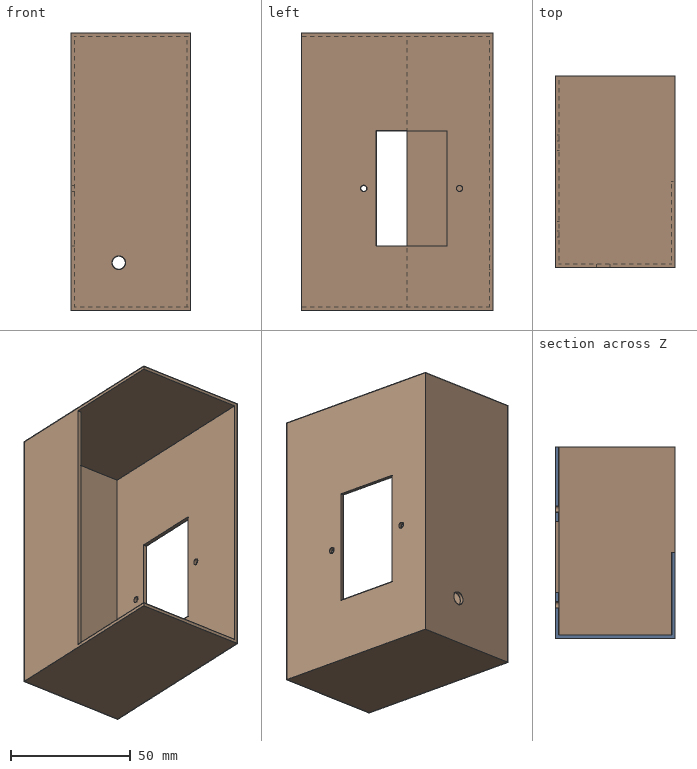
import cadquery as cq

length_x = 50.0
depth_y = 80.0
height_z = 116.0
wall = 1.5

window_width = 29.5
window_height = 48.0
window_center_y = 34.0
window_center_z = 51.0
screw_hole_diameter = 2.5
screw_hole_spacing = 40.0

cable_hole_diameter = 5.5
cable_hole_x = 20.0
cable_hole_z = 20.0

rear_wall_width = 36.0


def block(size, low_corner):
    """Box given by its size and its lowest corner."""
    return cq.Workplane("XY").box(*size, centered=False).translate(low_corner)


def shell():
    """Box with floor, ceiling and three walls, open on +Y and on part of +X."""
    outer = block((length_x, depth_y, height_z), (0, 0, 0))
    inner_height = height_z - 2 * wall
    cavity = block((length_x - 2 * wall, depth_y - wall, inner_height), (wall, wall, wall))
    side_opening = block(
        (wall, depth_y - rear_wall_width, inner_height),
        (length_x - wall, rear_wall_width, wall),
    )
    return outer.cut(cavity).cut(side_opening)


def window():
    """Cutter for the rectangular window through the -X wall."""
    low_corner = (0, window_center_y - window_width / 2, window_center_z - window_height / 2)
    return block((wall, window_width, window_height), low_corner)


def screw_holes():
    """Cutters for the two screw holes level with the middle of the window."""
    half_spacing = screw_hole_spacing / 2
    return (
        cq.Workplane("YZ")
        .pushPoints([(window_center_y + side * half_spacing, window_center_z) for side in (-1, 1)])
        .circle(screw_hole_diameter / 2)
        .extrude(wall)
    )


def cable_hole():
    """Cutter for the round hole through the -Y wall."""
    return (
        cq.Workplane("XZ")
        .center(cable_hole_x, cable_hole_z)
        .circle(cable_hole_diameter / 2)
        .extrude(-wall)
    )


result = shell().cut(window()).cut(screw_holes()).cut(cable_hole())